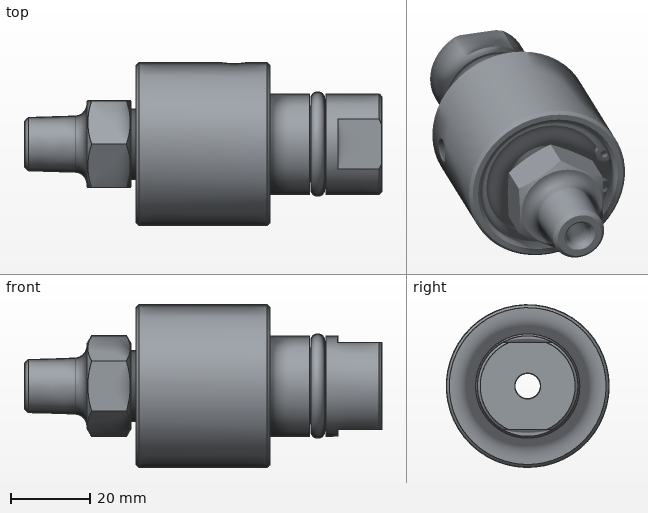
import cadquery as cq
import math

total_length = 90.13
through_bore = 6.4

tip_chamfer = 0.95
bore_chamfer = 0.8
nipple_start_radius = 6.72
taper_half_angle = math.atan(1 / 32)

hex_start_x = 15.7
hex_length = 11.2
hex_across_flats = 22.0
hex_corner_radius = hex_across_flats / 2 / math.cos(math.radians(30))
hex_face_radius = 10.6
hex_chamfer_angle = math.radians(30)
hex_end_x = hex_start_x + hex_length
root_fillet_radius = 3.0

neck_diameter = 17.85

drum_start_x = 28.1
drum_end_x = 61.95
drum_diameter = 41.07
drum_chamfer = 0.75

recess_diameter = 35.05
recess_entry_chamfer = 0.85
recess_depth = 4.0
ring_thickness = 1.5
ring_inner_diameter = 30.8
ear_radius = 2.2
ear_hole_diameter = 1.98
ear_y = -15.6
ear_z = 5.0

side_hole_diameter = 6.0
side_hole_depth = 5.0
side_hole_x = 52.8

spigot_diameter = 25.35
spigot_end_chamfer = 0.7
groove_diameter = 19.25
groove_width = 4.1
groove_center_x = 73.95
flats_start_x = 79.05
flats_width = 22.0

o_ring_section = 3.53


def cylinder_x(diameter, start_x, end_x):
    """Cylinder about the X axis."""
    disc = cq.Workplane("YZ", origin=(start_x, 0, 0)).circle(diameter / 2)
    return disc.extrude(end_x - start_x)


def revolve_about_x(profile):
    """Close a half profile and turn it about the X axis."""
    return profile.close().revolve(360, (0, 0, 0), (1, 0, 0))


def make_nipple():
    """Tapered nipple that flares in a tangent arc onto the hexagon face."""
    taper_end_x = hex_start_x - root_fillet_radius * (1 - math.sin(taper_half_angle))
    taper_end_radius = nipple_start_radius + (taper_end_x - tip_chamfer) * math.tan(taper_half_angle)
    flare_radius = taper_end_radius + root_fillet_radius * math.cos(taper_half_angle)
    profile = (
        cq.Workplane("XY")
        .lineTo(0, nipple_start_radius - tip_chamfer)
        .lineTo(tip_chamfer, nipple_start_radius)
        .lineTo(taper_end_x, taper_end_radius)
        .radiusArc((hex_start_x, flare_radius), -root_fillet_radius)
        .lineTo(hex_start_x, 0)
    )
    return revolve_about_x(profile)


def make_hexagon():
    """Hexagon whose corners are cut by a cone at each end."""
    prism = (
        cq.Workplane("YZ", origin=(hex_start_x, 0, 0))
        .polygon(6, 2 * hex_corner_radius)
        .extrude(hex_length)
        .rotate((0, 0, 0), (1, 0, 0), 90)
    )
    cone_length = (hex_corner_radius - hex_face_radius) * math.tan(hex_chamfer_angle)
    envelope = (
        cq.Workplane("XY")
        .moveTo(hex_start_x, 0)
        .lineTo(hex_start_x, hex_face_radius)
        .lineTo(hex_start_x + cone_length, hex_corner_radius)
        .lineTo(hex_end_x - cone_length, hex_corner_radius)
        .lineTo(hex_end_x, hex_face_radius)
        .lineTo(hex_end_x, 0)
    )
    return prism.intersect(revolve_about_x(envelope))


def make_snap_ring():
    """Open ring at the recess floor, with two drilled ears beside its gap."""
    start_x = drum_start_x + recess_depth - ring_thickness
    end_x = drum_start_x + recess_depth
    ring = cylinder_x(recess_diameter, start_x, end_x)
    ring = ring.cut(cylinder_x(ring_inner_diameter, start_x, end_x))
    gap = cq.Workplane("XY").box(ring_thickness, recess_diameter, 2 * ear_z)
    ring = ring.cut(gap.translate(((start_x + end_x) / 2, -recess_diameter / 2, 0)))
    ear_places = [(ear_y, ear_z), (ear_y, -ear_z)]
    sketch = cq.Workplane("YZ", origin=(start_x, 0, 0)).pushPoints(ear_places)
    ears = sketch.circle(ear_radius).extrude(ring_thickness)
    ears = ears.intersect(cylinder_x(recess_diameter, start_x, end_x))
    holes = sketch.circle(ear_hole_diameter / 2).extrude(ring_thickness)
    return ring.union(ears).cut(holes)


def make_drum():
    """Chamfered drum with its face recess, snap ring and side hole."""
    drum = cylinder_x(drum_diameter, drum_start_x, drum_end_x).edges().chamfer(drum_chamfer)
    recess = cylinder_x(recess_diameter, drum_start_x, drum_start_x + recess_depth)
    drum = drum.cut(recess)
    smallest_circle = cq.selectors.RadiusNthSelector(0)
    drum = drum.faces("<X").edges(smallest_circle).chamfer(recess_entry_chamfer)
    side_hole = (
        cq.Workplane("XZ", origin=(side_hole_x, drum_diameter / 2, 0))
        .circle(side_hole_diameter / 2)
        .extrude(side_hole_depth)
    )
    return drum.cut(side_hole).union(make_snap_ring())


def make_spigot():
    """Grooved spigot with wrench flats on +Z and -Z."""
    spigot = cylinder_x(spigot_diameter, drum_end_x, total_length)
    spigot = spigot.faces(">X").edges().chamfer(spigot_end_chamfer)
    groove_start_x = groove_center_x - groove_width / 2
    groove_end_x = groove_center_x + groove_width / 2
    groove = cylinder_x(spigot_diameter, groove_start_x, groove_end_x)
    spigot = spigot.cut(groove.cut(cylinder_x(groove_diameter, groove_start_x, groove_end_x)))
    flats_length = total_length - flats_start_x
    cut_height = spigot_diameter / 2
    for side in (1, -1):
        cutter = cq.Workplane("XY").box(flats_length, spigot_diameter, cut_height)
        cutter_z = side * (flats_width + cut_height) / 2
        spigot = spigot.cut(cutter.translate((flats_start_x + flats_length / 2, 0, cutter_z)))
    return spigot


def make_coupling():
    """Nipple, hexagon, neck, drum and spigot as one bored body."""
    neck = cylinder_x(neck_diameter, hex_end_x, drum_start_x + recess_depth)
    coupling = make_nipple().union(make_hexagon()).union(neck).union(make_drum()).union(make_spigot())
    coupling = coupling.cut(cylinder_x(through_bore, 0, total_length))
    smallest_circle = cq.selectors.RadiusNthSelector(0)
    return coupling.faces("<X").edges(smallest_circle).chamfer(bore_chamfer)


def make_o_ring():
    """Torus resting on the groove floor."""
    center_radius = (groove_diameter + o_ring_section) / 2
    section = cq.Workplane("XY").moveTo(groove_center_x, center_radius).circle(o_ring_section / 2)
    return section.revolve(360, (0, 0, 0), (1, 0, 0))


coupling = make_coupling()
o_ring = make_o_ring()

result = cq.Compound.makeCompound([coupling.val(), o_ring.val()])